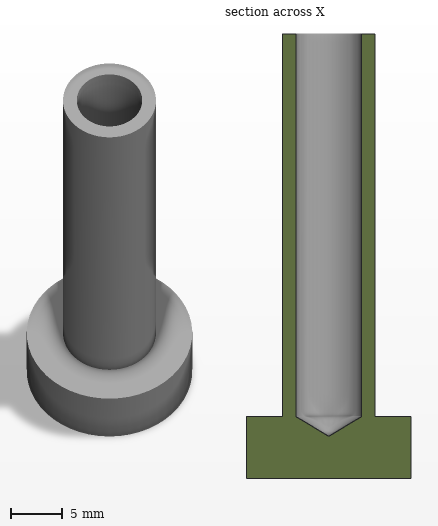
import cadquery as cq
import math

total_height = 43.0
head_diameter = 16.0
head_height = 6.0
shank_diameter = 9.0

bore_diameter = 6.3
bore_depth = total_height - head_height
drill_point_angle = 118.0


def make_body():
    """Round head standing on Z = 0 with a slimmer shank above it."""
    head = cq.Workplane("XY").circle(head_diameter / 2).extrude(head_height)
    shank = cq.Workplane("XY").circle(shank_diameter / 2).extrude(total_height)
    return head.union(shank)


def make_bore():
    """Revolved half-section of the bore: straight wall, then a conical tip."""
    bore_radius = bore_diameter / 2
    bore_floor = total_height - bore_depth
    point_depth = bore_radius / math.tan(math.radians(drill_point_angle / 2))
    return (
        cq.Workplane("XZ")
        .moveTo(0, total_height)
        .lineTo(bore_radius, total_height)
        .lineTo(bore_radius, bore_floor)
        .lineTo(0, bore_floor - point_depth)
        .close()
        .revolve(360, (0, 0, 0), (0, 1, 0))
    )


result = make_body().cut(make_bore())